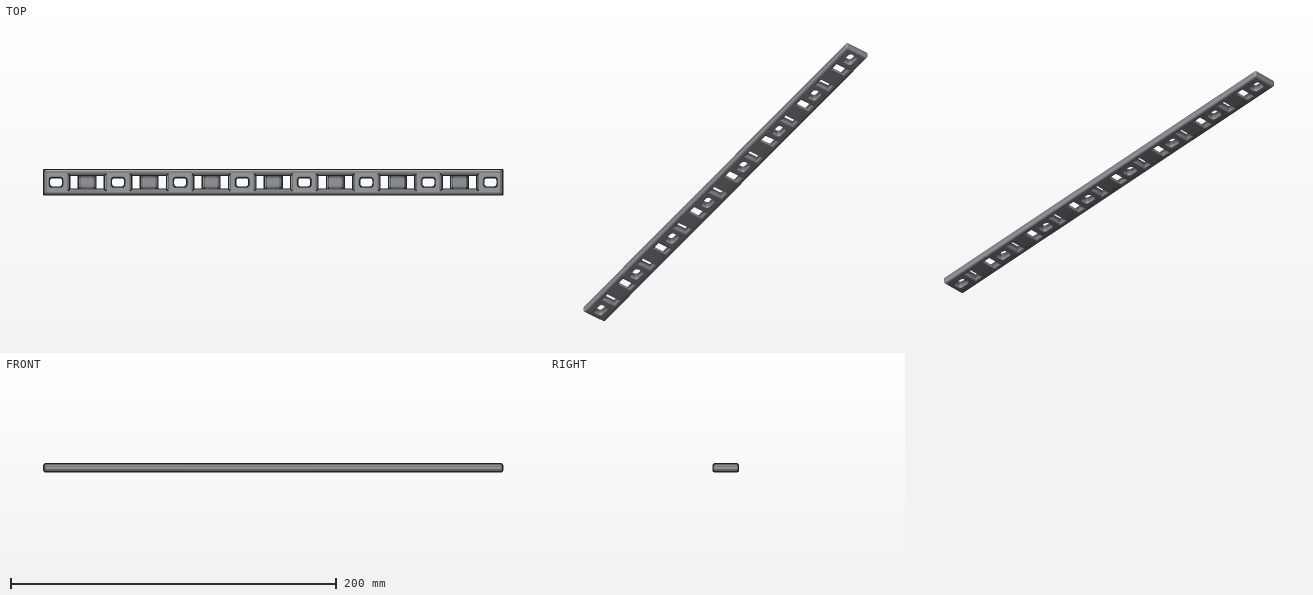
import cadquery as cq
LENGTH = 281.94
WIDTH = 15.88
HEIGHT = 5.08
BODY_EDGE_RADIUS = 1.524
BODY_CORNER_RADIUS = BODY_EDGE_RADIUS / 2

PITCH = 38.1
SLOT_COUNT = 8
WINDOW_COUNT = SLOT_COUNT - 1

SLOT_LENGTH = 7.874
SLOT_WIDTH = 5.588
SLOT_CORNER_RADIUS = 1.5875
SLOT_RIM_RADIUS = 0.508

WINDOW_LENGTH = 21.1
WINDOW_WIDTH = 8.128
WINDOW_RIM_RADIUS = 1.27

BRIDGE_LENGTH = 11.05
BRIDGE_HEIGHT = HEIGHT / 2
BRIDGE_EDGE_RADIUS = 1.27
BRIDGE_ROOT_RADIUS = 0.79375

PICK_MARGIN = 0.1


def row_positions(count):
    """X of each of `count` features spaced at the pitch and centred on the bar."""
    return [(i - (count - 1) / 2) * PITCH for i in range(count)]


def block(length, width, height):
    """Box standing on Z = 0, centred in X and Y."""
    return cq.Workplane("XY").box(length, width, height, centered=(True, True, False))


def edges_at_height(x, length, width, z):
    """Selector for the edges at height z inside a rectangle centred on (x, 0)."""
    half_length = length / 2 + PICK_MARGIN
    half_width = width / 2 + PICK_MARGIN
    return cq.selectors.BoxSelector(
        (x - half_length, -half_width, z - PICK_MARGIN),
        (x + half_length, half_width, z + PICK_MARGIN),
    )


def rounded_body():
    """Solid bar with its top and bottom edges rounded, then its upright corners."""
    body = block(LENGTH, WIDTH, HEIGHT).faces(">Z or <Z").edges().fillet(BODY_EDGE_RADIUS)
    return body.edges("|Z").fillet(BODY_CORNER_RADIUS)


def cut_openings(body, cutter, positions, length, width, rim_radius):
    """Cut a row of through openings and round their top and bottom rims."""
    for x in positions:
        body = body.cut(cutter.translate((x, 0, 0)))
    for z in (HEIGHT, 0):
        rims = edges_at_height(positions[0], length, width, z)
        for x in positions[1:]:
            rims = rims + edges_at_height(x, length, width, z)
        body = body.edges(rims).fillet(rim_radius)
    return body


def window_bridge():
    """Bridge with rounded ends and a concave root running up each window wall."""
    span = WINDOW_WIDTH + 2 * WINDOW_RIM_RADIUS
    end_rounded = block(BRIDGE_LENGTH, span, BRIDGE_HEIGHT).edges("|Y and >Z").fillet(BRIDGE_EDGE_RADIUS)
    wall = WINDOW_WIDTH / 2
    flat_length = BRIDGE_LENGTH - 2 * BRIDGE_EDGE_RADIUS
    root = (
        cq.Workplane("YZ")
        .moveTo(wall, BRIDGE_HEIGHT)
        .lineTo(wall, BRIDGE_HEIGHT + BRIDGE_ROOT_RADIUS)
        .radiusArc((wall - BRIDGE_ROOT_RADIUS, BRIDGE_HEIGHT), BRIDGE_ROOT_RADIUS)
        .close()
        .extrude(flat_length / 2, both=True)
    )
    return end_rounded.union(root).union(root.mirror("XZ"))


slot_cutter = block(SLOT_LENGTH, SLOT_WIDTH, HEIGHT).edges("|Z").fillet(SLOT_CORNER_RADIUS)
window_cutter = block(WINDOW_LENGTH, WINDOW_WIDTH, HEIGHT)
slot_row = row_positions(SLOT_COUNT)
window_row = row_positions(WINDOW_COUNT)

result = rounded_body()
result = cut_openings(result, slot_cutter, slot_row, SLOT_LENGTH, SLOT_WIDTH, SLOT_RIM_RADIUS)
result = cut_openings(result, window_cutter, window_row, WINDOW_LENGTH, WINDOW_WIDTH, WINDOW_RIM_RADIUS)

bridge = window_bridge()
for window_x in window_row:
    result = result.union(bridge.translate((window_x, 0, 0)))